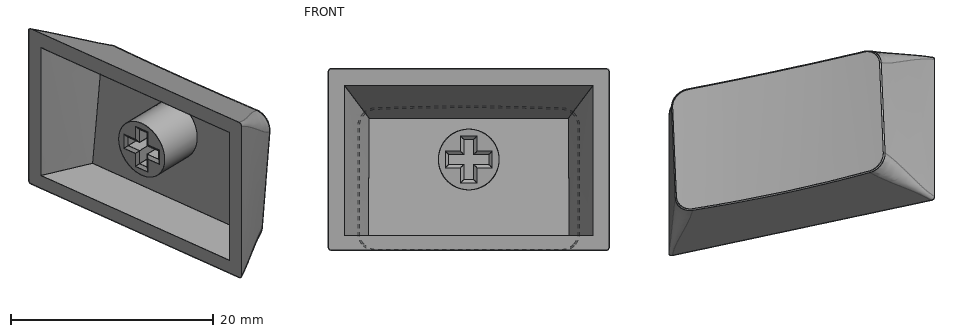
import cadquery as cq
import math

rim_width = 27.8
rim_height = 18.0
rim_corner_radius = 0.35

back_width = 21.85
back_top_y = 7.98
back_top_z = 14.0
back_bottom_y = 6.45
back_corner_radius = 1.78
dish_depth = 0.53
back_edge_bevel = 0.1
body_steps = 4

cavity_bottom_z = 1.5
opening_width = 24.58
opening_top_z = 16.32
floor_top_width = 19.7
floor_bottom_width = 19.85
floor_top_z = 13.07
floor_bottom_y = 5.1

stem_diameter = 6.0
stem_front_y = 1.0
socket_span = 4.65
socket_arm_width = 1.65
socket_bevel_inset = 0.33
socket_bevel_depth = 0.25

center_z = rim_height / 2
back_slope = (back_top_y - back_bottom_y) / back_top_z
floor_top_y = floor_bottom_y + back_slope * (floor_top_z - cavity_bottom_z)
floor_center_y = floor_bottom_y + back_slope * (center_z - cavity_bottom_z)
throat_y = stem_front_y + socket_bevel_depth
throat_span = socket_span - 2 * socket_bevel_inset
throat_arm_width = socket_arm_width - 2 * socket_bevel_inset


def blend(start, end, fraction):
    return start + (end - start) * fraction


def rounded_rectangle(plane, width, height, radius):
    """Closed wire on the plane, centered on its origin."""
    x = width / 2
    y = height / 2
    flat_x = x - radius
    flat_y = y - radius
    mid_x = flat_x + radius * math.sqrt(0.5)
    mid_y = flat_y + radius * math.sqrt(0.5)
    outline = (
        cq.Workplane(plane)
        .moveTo(-flat_x, -y)
        .lineTo(flat_x, -y)
        .threePointArc((mid_x, -mid_y), (x, -flat_y))
        .lineTo(x, flat_y)
        .threePointArc((mid_x, mid_y), (flat_x, y))
        .lineTo(-flat_x, y)
        .threePointArc((-mid_x, mid_y), (-x, flat_y))
        .lineTo(-x, -flat_y)
        .threePointArc((-mid_x, -mid_y), (-flat_x, -y))
        .close()
    )
    return outline.val()


def body_section(fraction):
    """Rounded rectangle between the rim (0) and the back face (1)."""
    top_y = back_top_y * fraction
    bottom_y = back_bottom_y * fraction
    top_z = blend(rim_height, back_top_z, fraction)
    lean = math.atan2(top_y - bottom_y, top_z)
    plane = cq.Plane(
        origin=(0, (top_y + bottom_y) / 2, top_z / 2),
        xDir=(1, 0, 0),
        normal=(0, -math.cos(lean), math.sin(lean)),
    )
    width = blend(rim_width, back_width, fraction)
    height = math.hypot(top_y - bottom_y, top_z)
    growth = fraction**2 * (3 - 2 * fraction)
    radius = blend(rim_corner_radius, back_corner_radius, growth)
    return rounded_rectangle(plane, width, height, radius)


def make_body():
    sections = [body_section(step / body_steps) for step in range(body_steps + 1)]
    return cq.Workplane(cq.Solid.makeLoft(sections))


def make_dish():
    """Large cylinder that hollows the back face, its axis leaning with that face."""
    half_width = back_width / 2
    radius = (half_width**2 + dish_depth**2) / (2 * dish_depth)
    axis_direction = cq.Vector(0, back_slope, 1).normalized()
    outward = cq.Vector(0, 1, -back_slope).normalized()
    back_edge = cq.Vector(0, back_bottom_y, 0)
    start = back_edge + outward * (radius - dish_depth) - axis_direction * rim_height
    length = 3 * rim_height
    return cq.Workplane(cq.Solid.makeCylinder(radius, length, start, axis_direction))


def make_cavity():
    opening = cq.Wire.makePolygon(
        [
            (-opening_width / 2, 0, cavity_bottom_z),
            (opening_width / 2, 0, cavity_bottom_z),
            (opening_width / 2, 0, opening_top_z),
            (-opening_width / 2, 0, opening_top_z),
        ],
        close=True,
    )
    floor = cq.Wire.makePolygon(
        [
            (-floor_bottom_width / 2, floor_bottom_y, cavity_bottom_z),
            (floor_bottom_width / 2, floor_bottom_y, cavity_bottom_z),
            (floor_top_width / 2, floor_top_y, floor_top_z),
            (-floor_top_width / 2, floor_top_y, floor_top_z),
        ],
        close=True,
    )
    return cq.Workplane(cq.Solid.makeLoft([opening, floor], True))


def make_stem():
    """Round post, long enough to sink into the leaning floor all round."""
    end_y = floor_center_y + back_slope * stem_diameter / 2
    front = cq.Workplane("XZ", origin=(0, stem_front_y, center_z))
    return front.circle(stem_diameter / 2).extrude(stem_front_y - end_y)


def cross_wire(plane, span, arm_width):
    """Closed plus-shaped wire on the plane."""
    tip = span / 2
    side = arm_width / 2
    points = []
    for quarter in range(4):
        cosine = round(math.cos(quarter * math.pi / 2))
        sine = round(math.sin(quarter * math.pi / 2))
        for x, y in [(side, side), (side, tip), (-side, tip)]:
            points.append((x * cosine - y * sine, x * sine + y * cosine))
    return cq.Workplane(plane).polyline(points).close().val()


def make_socket():
    """Cross with a beveled mouth, then straight walls down to the cavity floor."""
    mouth_plane = cq.Plane(origin=(0, stem_front_y, center_z), xDir=(1, 0, 0), normal=(0, -1, 0))
    throat_plane = cq.Plane(origin=(0, throat_y, center_z), xDir=(1, 0, 0), normal=(0, -1, 0))
    mouth = cross_wire(mouth_plane, socket_span, socket_arm_width)
    throat = cross_wire(throat_plane, throat_span, throat_arm_width)
    bevel = cq.Workplane(cq.Solid.makeLoft([mouth, throat], True))
    deepest_y = floor_center_y + back_slope * throat_span / 2
    walls = cq.Solid.extrudeLinear(throat, [], cq.Vector(0, deepest_y - throat_y, 0))
    return bevel.union(cq.Workplane(walls).intersect(make_cavity()))


body = make_body().cut(make_dish()).faces(">Y").chamfer(back_edge_bevel)
shell = body.cut(make_cavity())
result = shell.union(make_stem()).cut(make_socket())